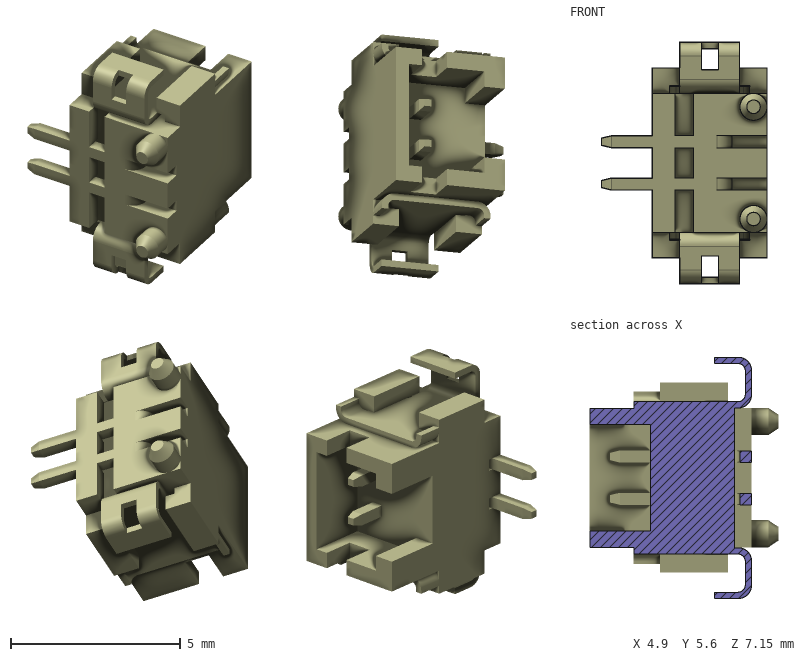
import cadquery as cq


body_width = 3.395
body_depth = 4.8
body_height = 4.12
half_height = body_height / 2

cavity_floor = 3.0
left_wall = 0.635
right_wall = 0.41
end_wall = 0.49
window_height = 2.19
key_start = 1.8
key_width = 0.79
key_floor = 3.78

flange_width = 0.81
flange_bottom = 0.7
flange_top = 2.7
flange_height = 5.61

lead_count = 2
lead_pitch = 1.25
lead_size = 0.36
lead_overhang = 1.5
lead_bend_outer = 0.45
lead_bend_inner = 0.2
pin_face = 2.37
pin_end = 4.19
tip_length = 0.29
tip_size = 0.215
channel_depth = 0.5
groove_start = 0.68
groove_width = 0.535

post_radius = 0.4
post_tip_radius = 0.2
post_straight = 0.5
post_length = 0.8

sheet = 0.2
bend_outer = 0.41
bend_inner = bend_outer - sheet
tab_reach = 3.575
tab_width = body_width - 2 * flange_width
tab_return = 1.11
tab_slot_width = 0.5
tab_slot_offset = 0.65
tab_slot_length = 0.815
shoulder_start = 0.515
shoulder_depth = 0.5
shoulder_round = 0.185
sheet_clearance = 0.02
wing_top = 3.495
wing_height = 0.49


def block(x_range, y_range, z_range):
    """Box spanning the given (low, high) ranges."""
    size = [high - low for low, high in (x_range, y_range, z_range)]
    corner = (x_range[0], y_range[0], z_range[0])
    return cq.Workplane("XY").box(*size, centered=False).translate(corner)


def mirrored(shape):
    """Add the copy of a shape on the other side of mid-height."""
    return shape.union(shape.mirror("XY"))


def make_flanges():
    """Four corner blocks with a slot along each end face for the solder tab."""
    depth_range = (flange_bottom, flange_top)
    height_range = (-flange_height / 2, flange_height / 2)
    left = block((0, flange_width), depth_range, height_range)
    right = block((body_width - flange_width, body_width), depth_range, height_range)
    slot = block(
        (shoulder_start, body_width - shoulder_start),
        depth_range,
        (half_height, half_height + sheet + sheet_clearance),
    )
    middle = block((flange_width, body_width - flange_width), depth_range, height_range)
    return left.union(right).cut(mirrored(slot)).cut(middle)


def make_housing():
    """Shrouded body with cavity, window, key slots, flanges and cross groove."""
    full_height = (-half_height, half_height)
    body = block((0, body_width), (0, body_depth), full_height)
    cavity_half = half_height - end_wall
    cavity = block(
        (left_wall, body_width - right_wall), (cavity_floor, body_depth), (-cavity_half, cavity_half)
    )
    window = block((0, left_wall), (cavity_floor, body_depth), (-window_height / 2, window_height / 2))
    key_slots = block((key_start, key_start + key_width), (key_floor, body_depth), full_height)
    groove = block((groove_start, groove_start + groove_width), (0, channel_depth), full_height)
    body = body.cut(cavity).cut(window).cut(key_slots).cut(groove)
    return body.union(make_flanges())


def make_tip(plane):
    """Tapered square tip standing on the given plane."""
    return (
        cq.Workplane(plane)
        .rect(lead_size, lead_size)
        .workplane(offset=tip_length)
        .rect(tip_size, tip_size)
        .loft()
    )


def make_lead():
    """L-shaped square lead, centred on Z = 0, with a tapered tip at each end."""
    tail_end = tip_length - lead_overhang
    pin_shoulder = pin_end - tip_length
    pin_back = pin_face - lead_size
    bar = (
        cq.Workplane("XY", origin=(0, 0, -lead_size / 2))
        .moveTo(tail_end, 0)
        .lineTo(pin_face - lead_bend_outer, 0)
        .radiusArc((pin_face, lead_bend_outer), -lead_bend_outer)
        .lineTo(pin_face, pin_shoulder)
        .lineTo(pin_back, pin_shoulder)
        .lineTo(pin_back, lead_size + lead_bend_inner)
        .radiusArc((pin_back - lead_bend_inner, lead_size), lead_bend_inner)
        .lineTo(tail_end, lead_size)
        .close()
        .extrude(lead_size)
    )
    half = lead_size / 2
    tail_tip = make_tip(cq.Plane((tail_end, half, 0), xDir=(0, 1, 0), normal=(-1, 0, 0)))
    pin_tip = make_tip(cq.Plane((pin_face - half, pin_shoulder, 0), xDir=(1, 0, 0), normal=(0, 1, 0)))
    return bar.union(tail_tip).union(pin_tip)


def make_post():
    """Round locating post with a conical end, flush with the top and +X faces."""
    profile = [
        (0, 0),
        (post_radius, 0),
        (post_radius, -post_straight),
        (post_tip_radius, -post_length),
        (0, -post_length),
    ]
    post = cq.Workplane("XY").polyline(profile).close().revolve(360, (0, 0), (0, 1))
    return post.translate((body_width - post_radius, 0, half_height - post_radius))


def make_hook():
    """C-shaped strip lying on the end face and curling outward at the mounting face."""
    base = half_height
    outer = tab_reach
    hook = (
        cq.Workplane("YZ", origin=(flange_width, 0, 0))
        .moveTo(wing_top, base)
        .lineTo(bend_outer, base)
        .radiusArc((0, base + bend_outer), bend_outer)
        .lineTo(0, outer - bend_outer)
        .radiusArc((bend_outer, outer), bend_outer)
        .lineTo(tab_return, outer)
        .lineTo(tab_return, outer - sheet)
        .lineTo(bend_outer, outer - sheet)
        .radiusArc((sheet, outer - bend_outer), -bend_inner)
        .lineTo(sheet, base + bend_outer)
        .radiusArc((bend_outer, base + sheet), -bend_inner)
        .lineTo(wing_top, base + sheet)
        .close()
        .extrude(tab_width)
    )
    slot_start = flange_width + tab_slot_offset
    slot = block(
        (slot_start, slot_start + tab_slot_width), (0, bend_outer), (outer - tab_slot_length, outer)
    )
    return hook.cut(slot)


def make_wings():
    """U-shaped stop above the flanges, spanning the full body width."""
    base = half_height
    crest = base + wing_height
    right = body_width
    return (
        cq.Workplane("XZ", origin=(0, wing_top, 0))
        .moveTo(0, crest)
        .lineTo(0, base + bend_outer)
        .radiusArc((bend_outer, base), -bend_outer)
        .lineTo(right - bend_outer, base)
        .radiusArc((right, base + bend_outer), -bend_outer)
        .lineTo(right, crest)
        .lineTo(right - sheet, crest)
        .lineTo(right - sheet, base + bend_outer)
        .radiusArc((right - bend_outer, base + sheet), bend_inner)
        .lineTo(bend_outer, base + sheet)
        .radiusArc((sheet, base + bend_outer), bend_inner)
        .lineTo(sheet, crest)
        .close()
        .extrude(wing_top - flange_top)
    )


def make_tab():
    """Complete solder tab: outward hook, rounded shoulders in the slot, and wings."""
    shoulders = block(
        (shoulder_start, body_width - shoulder_start),
        (flange_bottom + shoulder_depth, flange_top),
        (half_height, half_height + sheet),
    )
    shoulders = shoulders.faces("<Y").edges("|Z").fillet(shoulder_round)
    return make_hook().union(shoulders).union(make_wings())


result = make_housing()

for index in range(lead_count):
    lead_z = (index - (lead_count - 1) / 2) * lead_pitch
    lead_range = (lead_z - lead_size / 2, lead_z + lead_size / 2)
    result = result.cut(block((0, body_width), (0, channel_depth), lead_range))
    result = result.union(make_lead().translate((0, 0, lead_z)))

result = result.union(mirrored(make_post()))
result = result.union(mirrored(make_tab()))